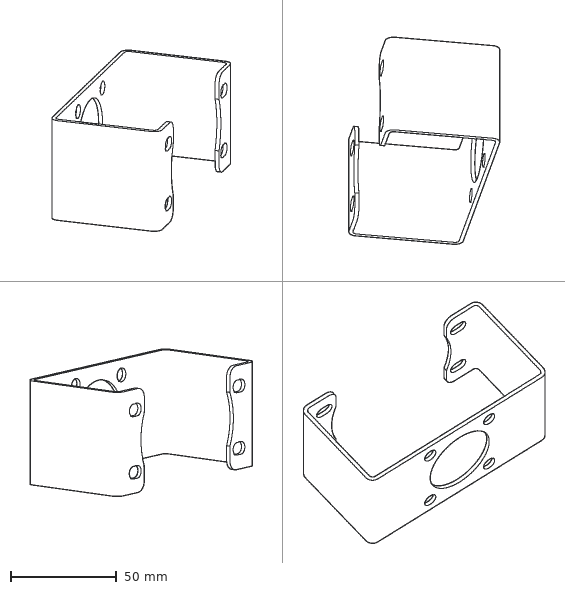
import cadquery as cq

depth = 55.0
width = 106.0
height = 50.0
thickness = 2.0
bend_radius = 4.0

flange_length = 20.0
flange_corner_radius = 5.0
slot_length = 9.0
slot_height = 6.0
slot_tip_distance = 7.0
slot_spacing = 30.0
recess_depth = 2.6
recess_chord = 25.9

bore_diameter = 35.2
mount_diameter = 6.6
mount_spacing = 35.2

tip_y = width / 2 - flange_length


def rounded_box(size_x, size_y, radius):
    return cq.Workplane("XY").box(size_x, size_y, height).edges("|Z").fillet(radius)


def channel():
    """Closed bent tube, opened at the front between the flange tips."""
    outer = rounded_box(depth, width, bend_radius)
    inner = rounded_box(depth - 2 * thickness, width - 2 * thickness, bend_radius - thickness)
    opening = cq.Workplane("XY").box(depth, 2 * tip_y, height).translate((depth / 2, 0, 0))
    return outer.cut(inner).cut(opening)


def round_flange_corners(body):
    for side in (-1, 1):
        for end in (-1, 1):
            corner = cq.selectors.NearestToPointSelector(
                (depth / 2 - thickness / 2, side * tip_y, end * height / 2)
            )
            body = body.edges(corner).fillet(flange_corner_radius)
    return body


def flange_cutters():
    """Slots and the shallow arc recesses in both flange tips."""
    plane = cq.Workplane("YZ")
    slot_y = tip_y + slot_tip_distance
    slot_centers = [(y, z) for y in (-slot_y, slot_y) for z in (-slot_spacing / 2, slot_spacing / 2)]
    cutters = plane.pushPoints(slot_centers).slot2D(slot_length, slot_height).extrude(depth)
    for side in (-1, 1):
        recess = (
            plane.moveTo(side * tip_y, -recess_chord / 2)
            .threePointArc((side * (tip_y + recess_depth), 0), (side * tip_y, recess_chord / 2))
            .close()
            .extrude(depth)
        )
        cutters = cutters.add(recess)
    return cutters.combine()


def back_wall_cutters():
    plane = cq.Workplane("YZ").workplane(offset=-depth / 2)
    bore = plane.circle(bore_diameter / 2).extrude(2 * thickness)
    mounts = (
        plane.rect(mount_spacing, mount_spacing, forConstruction=True)
        .vertices()
        .circle(mount_diameter / 2)
        .extrude(2 * thickness)
    )
    return bore.union(mounts)


result = round_flange_corners(channel()).cut(flange_cutters()).cut(back_wall_cutters())